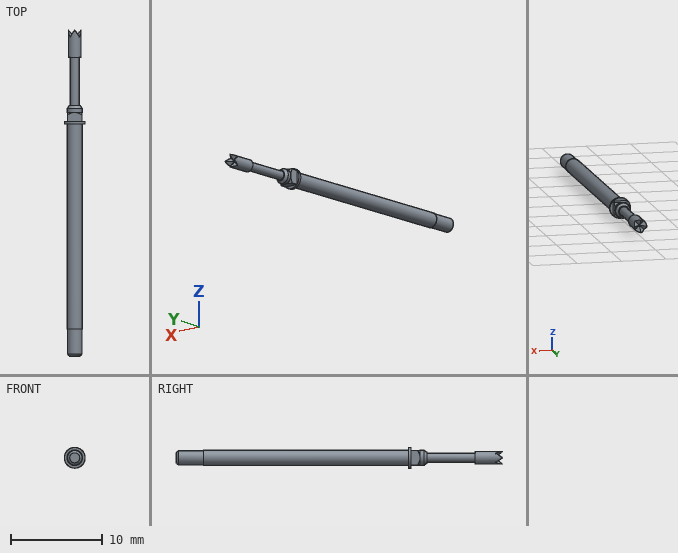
import cadquery as cq
import math


overall_length = 35.8
head_length = 3.0
stem_length = 5.25
nose_length = 0.78
square_length = 0.98
flange_thickness = 0.3
sleeve_length = 3.0

tip_y = overall_length / 2
rear_y = -overall_length / 2
head_rear_y = tip_y - head_length
nose_front_y = head_rear_y - stem_length
nose_rear_y = nose_front_y - nose_length
flange_front_y = nose_rear_y - square_length
flange_rear_y = flange_front_y - flange_thickness
sleeve_front_y = rear_y + sleeve_length

head_diameter = 1.4
stem_diameter = 1.0
barrel_diameter = 1.7
sleeve_diameter = 1.6
flange_diameter = 2.3
square_width = 1.64
square_corner_diameter = 2.28

nose_chamfer_length = 0.35
nose_chamfer_radial = 0.25
rear_chamfer = 0.25
square_lead_length = 0.25
crown_depth = 0.75
crown_points = 4


def rod(diameter, front_y, back_y):
    """Cylinder on the Y axis between two stations."""
    plane = cq.Workplane("XZ", origin=(0, front_y, 0))
    return plane.circle(diameter / 2).extrude(front_y - back_y)


def make_nose():
    """Front collar with a long bevel around the stem."""
    nose = rod(barrel_diameter, nose_front_y, nose_rear_y)
    return nose.faces(">Y").chamfer(nose_chamfer_length, nose_chamfer_radial)


def make_square():
    """Square collar whose corners are turned down, with a conical lead at the front."""
    plane = cq.Workplane("XZ", origin=(0, nose_rear_y, 0))
    square = plane.rect(square_width, square_width).extrude(square_length)
    lead_radial = (square_corner_diameter - square_width) / 2
    blank = rod(square_corner_diameter, nose_rear_y, flange_front_y)
    blank = blank.faces(">Y").chamfer(square_lead_length, lead_radial)
    return square.intersect(blank)


def make_sleeve():
    """Reduced rear end of the barrel with a bevelled rim."""
    sleeve = rod(sleeve_diameter, sleeve_front_y, rear_y)
    return sleeve.faces("<Y").chamfer(rear_chamfer)


def make_head():
    """Cylindrical head with crossed V grooves that leave points on the X and Z axes."""
    head = rod(head_diameter, tip_y, head_rear_y)
    point_offset = head_diameter / 2 * math.sin(math.pi / crown_points)
    groove = (
        cq.Workplane("XY")
        .moveTo(0, tip_y - crown_depth)
        .lineTo(point_offset, tip_y)
        .lineTo(-point_offset, tip_y)
        .close()
        .extrude(head_diameter, both=True)
    )
    groove_count = crown_points // 2
    for index in range(groove_count):
        angle = (index + 0.5) * 360 / crown_points
        head = head.cut(groove.rotate((0, 0, 0), (0, 1, 0), angle))
    return head


result = (
    make_head()
    .union(rod(stem_diameter, head_rear_y, nose_front_y))
    .union(make_nose())
    .union(make_square())
    .union(rod(flange_diameter, flange_front_y, flange_rear_y))
    .union(rod(barrel_diameter, flange_rear_y, sleeve_front_y))
    .union(make_sleeve())
)